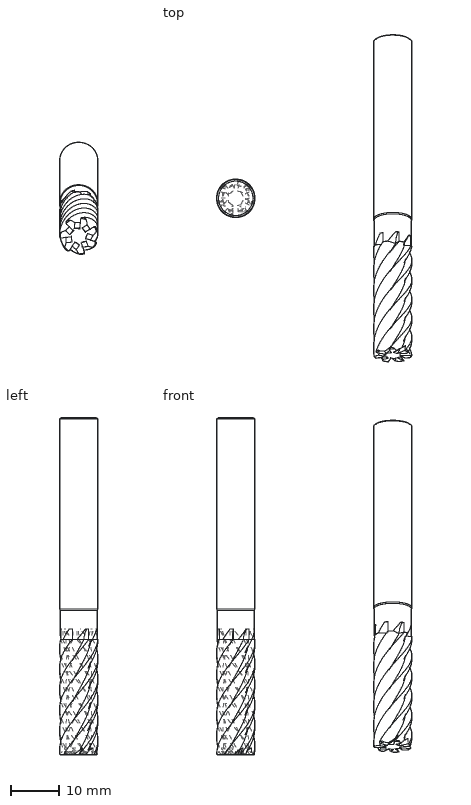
import cadquery as cq
import math


total_length = 70.0
tool_diameter = 8.0
top_chamfer_width = 0.4
top_chamfer_height = 0.3

neck_diameter = 7.8
neck_top = 30.3
neck_cone_height = 0.3

cutter_length = 24.0
flute_count = 7
helix_lead = 29.9
corner_chamfer = 0.2

core_diameter = 5.3
land_width = 8.0
rake_lean = 7.0
shoulder_offset = 16.0
shoulder_diameter = 7.7
floor_offset = 30.0
floor_diameter = 5.9
top_edge_angle = -97.0
runout_height = 2.1

gash_height = 1.5
gash_width = 1.1
gash_shift = 0.85
gash_inner_radius = 1.55

tool_radius = tool_diameter / 2
neck_radius = neck_diameter / 2
core_radius = core_diameter / 2
shoulder_radius = shoulder_diameter / 2
floor_radius = floor_diameter / 2
flute_pitch = 360.0 / flute_count
twist_per_unit = 360.0 / helix_lead
cutter_twist = cutter_length * twist_per_unit
bottom_edge_angle = top_edge_angle - cutter_twist


def polar(radius, degrees):
    """Point at a radius and direction about the tool axis."""
    angle = math.radians(degrees)
    return (radius * math.cos(angle), radius * math.sin(angle))


def flute_side(outline, edge_angle):
    """Continue an outline from the land behind edge_angle, through a flute, to the next cutting edge."""
    next_edge_angle = edge_angle + flute_pitch
    tooth_back = [
        polar(shoulder_radius, edge_angle + shoulder_offset),
        polar(floor_radius, edge_angle + floor_offset),
        polar(core_radius, next_edge_angle - rake_lean),
    ]
    return outline.spline(tooth_back, includeCurrent=True).lineTo(*polar(tool_radius, next_edge_angle))


def toothed_bar():
    """Twisted bar with a land and a flute for each tooth."""
    outline = cq.Workplane("XY").moveTo(*polar(tool_radius, bottom_edge_angle))
    for tooth in range(flute_count):
        edge_angle = bottom_edge_angle + tooth * flute_pitch
        land_middle = polar(tool_radius, edge_angle + land_width / 2)
        land_end = polar(tool_radius, edge_angle + land_width)
        outline = flute_side(outline.threePointArc(land_middle, land_end), edge_angle)
    return outline.close().twistExtrude(cutter_length, cutter_twist)


def corner_ring():
    """Ring that bevels the lower corner of every tooth; its slope runs on past the cutting circle."""
    section = [
        (tool_radius - corner_chamfer, 0),
        (tool_radius + corner_chamfer, 2 * corner_chamfer),
        (tool_radius + corner_chamfer, 0),
    ]
    return cq.Workplane("XZ").polyline(section).close().revolve(360, (0, 0), (0, 1))


def end_gash(edge_angle):
    """Wedge that opens the cutting end in front of one cutting edge."""
    wedge = (
        cq.Workplane("YZ", origin=(gash_inner_radius, 0, 0))
        .polyline([(0, 0), (gash_shift, gash_height), (-gash_width, 0)])
        .close()
        .extrude(tool_radius)
    )
    return wedge.rotate((0, 0, 0), (0, 0, 1), edge_angle)


def make_cutter():
    cutter = toothed_bar().cut(corner_ring())
    for tooth in range(flute_count):
        cutter = cutter.cut(end_gash(bottom_edge_angle + tooth * flute_pitch))
    return cutter


def flute_groove(edge_angle):
    """Outline of the flute behind one cutting edge at the top of the cutter, open past the neck."""
    outside = 2 * tool_radius
    outline = cq.Workplane("XY", origin=(0, 0, cutter_length))
    outline = outline.moveTo(*polar(tool_radius, edge_angle + land_width))
    return (
        flute_side(outline, edge_angle)
        .lineTo(*polar(outside, edge_angle + flute_pitch))
        .lineTo(*polar(outside, edge_angle + land_width))
        .close()
    )


def flute_runout(edge_angle):
    """End of one flute in the neck: the twisted flute, stopped by an upright wall at the cutting face."""
    upright = flute_groove(edge_angle).extrude(runout_height)
    twisted = flute_groove(edge_angle).twistExtrude(runout_height, runout_height * twist_per_unit)
    return twisted.intersect(upright)


def make_shank():
    profile = [
        (0, cutter_length),
        (neck_radius, cutter_length),
        (neck_radius, neck_top - neck_cone_height),
        (tool_radius, neck_top),
        (tool_radius, total_length - top_chamfer_height),
        (tool_radius - top_chamfer_width, total_length),
        (0, total_length),
    ]
    shank = cq.Workplane("XZ").polyline(profile).close().revolve(360, (0, 0), (0, 1))
    first_runout = flute_runout(top_edge_angle)
    for tooth in range(flute_count):
        shank = shank.cut(first_runout.rotate((0, 0, 0), (0, 0, 1), tooth * flute_pitch))
    return shank


cutter = make_cutter()
shank = make_shank()
result = cq.Compound.makeCompound([shank.solids().val(), cutter.solids().val()])